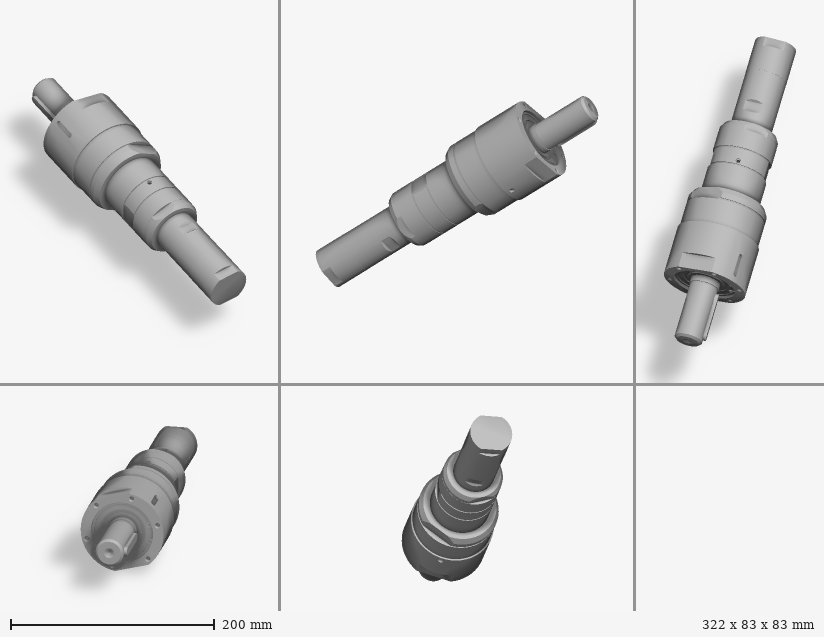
import cadquery as cq
import math


TOTAL_LENGTH = 322.0
SHAFT_SHOULDER = 59.2
HEAD_START = 61.5
HEAD_END = 111.5
COLLAR_GROOVE_START = 137.8
COLLAR_GROOVE_END = 139.7
COLLAR_END = 151.5
FRONT_GROOVE_START = 180.0
REAR_GROOVE_START = 197.7
BARREL_GROOVE_WIDTH = 1.5
NUT_START = 218.3
BARREL_END = 228.0
TAIL_STEP = 286.3

SHAFT_DIA = 28.0
SHOULDER_DIA = 30.0
HEAD_DIA = 83.0
BODY_DIA = 80.0
COLLAR_GROOVE_DIA = 78.0
BARREL_DIA = 60.0
BARREL_GROOVE_DIA = 58.0
NUT_DIA = 59.5
TAIL_NECK_DIA = 41.5
TAIL_DIA = 42.0

SHAFT_CHAMFER = 2.3
RIM_CHAMFER_ANGLE = 30.0
COLLAR_CHAMFER = 5.8
BARREL_CHAMFER = 4.8

CENTRE_HOLE_DIA = 10.3
CENTRE_HOLE_ANGLE = 118.0
KEY_START = 5.0
KEY_LENGTH = 50.0
KEY_WIDTH = 8.5
KEY_TOP = 16.7

HEAD_FLAT_LENGTH = 15.0
HEAD_FLAT_HALF_WIDTH = 37.7
HEAD_FLAT_ANGLE = 105.0
SCREW_HOLE_DIA = 4.0
SCREW_SINK_DIA = 5.5
SCREW_HOLE_DEPTH = 6.5
SCREW_COUNT = 6
SCREW_CIRCLE_RADIUS = 36.7
FIRST_SCREW_ANGLE = 15.0
DRILL_TIP_ANGLE = 118.0
SIDE_SLOT_CENTRE = 79.2
SIDE_SLOT_LENGTH = 24.0
SIDE_SLOT_WIDTH = 5.5
SIDE_SLOT_DEPTH = 3.0
SIDE_SLOT_ANGLE = 45.0
SIDE_HOLE_CENTRE = 105.0
SIDE_HOLE_DIA = 5.5
SIDE_HOLE_DEPTH = 3.2
SIDE_HOLE_ANGLE = -75.0

RECESS_DIA = 62.0
RECESS_DEPTH = 4.0
RING_BORE_DIA = 57.3
RING_THICKNESS = 1.0
RING_GAP = 12.2
EAR_DIA = 5.0
EAR_HOLE_DIA = 3.5
EAR_OFFSET = 26.0
EAR_HALF_SPACING = 8.5
SEAL_OUTER_DIA = 45.0
SEAL_INNER_DIA = 38.0
SEAL_GROOVE_DEPTH = 1.0

COLLAR_FLAT_HALF_WIDTH = 35.0
COLLAR_FLAT_ANGLE = 125.6
BARREL_FLAT_HALF_WIDTH = 27.5
NUT_FLAT_HALF_WIDTH = 27.0
NUT_FLAT_ANGLE = 72.6
OIL_HOLE_CENTRE = 184.8
OIL_SINK_DIA = 5.0
OIL_SINK_DEPTH = 1.5
OIL_HOLE_DIA = 3.5
OIL_HOLE_DEPTH = 6.5
NOTCH_START = 243.0
NOTCH_LENGTH = 9.3
NOTCH_HALF_WIDTH = 18.7
NOTCH_ANGLE = 98.0
TAIL_FLAT_LENGTH = 9.5
TAIL_FLAT_HALF_WIDTH = 18.0


def radial_plane(x, angle, distance):
    """Plane facing outward at the given angle; local x runs along the axis."""
    a = math.radians(angle)
    outward = (0, -math.cos(a), math.sin(a))
    origin = (x, distance * outward[1], distance * outward[2])
    return cq.Plane(origin=origin, xDir=(1, 0, 0), normal=outward)


def axial_plane(x):
    """Plane facing +X; local x is +Y and local y is +Z."""
    return cq.Plane(origin=(x, 0, 0), xDir=(0, 1, 0), normal=(1, 0, 0))


def tube(x_start, length, outer_dia, inner_dia):
    ring = cq.Workplane(axial_plane(x_start)).circle(outer_dia / 2).circle(inner_dia / 2)
    return ring.extrude(length)


def turned_solid(profile):
    """Revolve (x, radius) points about the axis; the first and last points lie on the axis."""
    return cq.Workplane("XY").polyline(profile).close().revolve(360, (0, 0, 0), (1, 0, 0))


def stepped_body():
    """Revolve the stepped outline, given as (x, radius) points."""
    slope = math.tan(math.radians(RIM_CHAMFER_ANGLE))
    shaft_r = SHAFT_DIA / 2
    body_r = BODY_DIA / 2
    barrel_r = BARREL_DIA / 2
    nut_r = NUT_DIA / 2
    outline = [
        (0, 0),
        (0, shaft_r - SHAFT_CHAMFER),
        (SHAFT_CHAMFER, shaft_r),
        (SHAFT_SHOULDER, shaft_r),
        (SHAFT_SHOULDER, SHOULDER_DIA / 2),
        (HEAD_START, SHOULDER_DIA / 2),
        (HEAD_START, HEAD_DIA / 2),
        (HEAD_END, HEAD_DIA / 2),
        (HEAD_END, body_r),
        (COLLAR_END - COLLAR_CHAMFER, body_r),
        (COLLAR_END, body_r - COLLAR_CHAMFER * slope),
        (COLLAR_END, barrel_r),
        (NUT_START, barrel_r),
        (NUT_START, nut_r),
        (BARREL_END - BARREL_CHAMFER, nut_r),
        (BARREL_END, nut_r - BARREL_CHAMFER * slope),
        (BARREL_END, TAIL_NECK_DIA / 2),
        (TAIL_STEP, TAIL_NECK_DIA / 2),
        (TAIL_STEP, TAIL_DIA / 2),
        (TOTAL_LENGTH, TAIL_DIA / 2),
        (TOTAL_LENGTH, 0),
    ]
    return turned_solid(outline)


def flat_pair(x_start, x_end, half_width, angle):
    """Cutter for two opposite flats."""
    cutter = cq.Workplane("XY")
    for side_angle in (angle, angle + 180):
        plane = radial_plane((x_start + x_end) / 2, side_angle, half_width)
        cutter = cutter.add(cq.Workplane(plane).rect(x_end - x_start, HEAD_DIA).extrude(HEAD_DIA / 2))
    return cutter.combine()


def centre_hole():
    """Conical centre in the shaft tip."""
    radius = CENTRE_HOLE_DIA / 2
    depth = radius / math.tan(math.radians(CENTRE_HOLE_ANGLE / 2))
    return turned_solid([(0, 0), (0, radius), (depth, 0)])


def radial_hole(x, angle, surface_dia, diameter, depth):
    floor = radial_plane(x, angle, surface_dia / 2 - depth)
    return cq.Workplane(floor).circle(diameter / 2).extrude(2 * depth)


def screw_holes():
    """Ring of countersunk blind holes ending in drill tips."""
    hole_r = SCREW_HOLE_DIA / 2
    sink_r = SCREW_SINK_DIA / 2
    tip = hole_r / math.tan(math.radians(DRILL_TIP_ANGLE / 2))
    profile = [
        (0, 0),
        (0, sink_r),
        (sink_r - hole_r, hole_r),
        (SCREW_HOLE_DEPTH, hole_r),
        (SCREW_HOLE_DEPTH + tip, 0),
    ]
    hole = turned_solid(profile)
    holes = cq.Workplane("XY")
    for i in range(SCREW_COUNT):
        a = math.radians(FIRST_SCREW_ANGLE + i * 360 / SCREW_COUNT)
        y = -SCREW_CIRCLE_RADIUS * math.cos(a)
        z = SCREW_CIRCLE_RADIUS * math.sin(a)
        holes = holes.add(hole.translate((HEAD_START, y, z)))
    return holes.combine()


def retaining_ring():
    """Open ring on the recess floor, with a drilled ear at each end."""
    x_start = HEAD_START + RECESS_DEPTH - RING_THICKNESS
    ear_centres = [(-EAR_OFFSET, EAR_HALF_SPACING), (-EAR_OFFSET, -EAR_HALF_SPACING)]
    ears = cq.Workplane(axial_plane(x_start)).pushPoints(ear_centres)
    ear_discs = ears.circle(EAR_DIA / 2).extrude(RING_THICKNESS)
    ear_holes = ears.circle(EAR_HOLE_DIA / 2).extrude(RING_THICKNESS)
    gap = (
        cq.Workplane(axial_plane(x_start))
        .center(-RECESS_DIA / 2, 0)
        .rect(RECESS_DIA, RING_GAP)
        .extrude(RING_THICKNESS)
    )
    ring = tube(x_start, RING_THICKNESS, RECESS_DIA, RING_BORE_DIA)
    return ring.union(ear_discs).cut(gap).cut(ear_holes)


def shaft_key():
    """Round-ended key standing out of the -Y side of the shaft."""
    plane = radial_plane(KEY_START + KEY_LENGTH / 2, 0, 0)
    return cq.Workplane(plane).slot2D(KEY_LENGTH, KEY_WIDTH).extrude(KEY_TOP)


def side_slot():
    floor = radial_plane(SIDE_SLOT_CENTRE, SIDE_SLOT_ANGLE, HEAD_DIA / 2 - SIDE_SLOT_DEPTH)
    return cq.Workplane(floor).slot2D(SIDE_SLOT_LENGTH, SIDE_SLOT_WIDTH).extrude(2 * SIDE_SLOT_DEPTH)


def tail_notches():
    """Two opposite flat-bottomed notches with 45 degree end walls."""
    cutter = cq.Workplane("XY")
    height = TAIL_DIA / 2 - NOTCH_HALF_WIDTH
    for angle in (NOTCH_ANGLE, NOTCH_ANGLE + 180):
        floor = radial_plane(NOTCH_START + NOTCH_LENGTH / 2, angle, NOTCH_HALF_WIDTH)
        notch = cq.Workplane(floor).rect(NOTCH_LENGTH, TAIL_DIA).extrude(height, taper=-45)
        cutter = cutter.add(notch)
    return cutter.combine()


part = stepped_body()
collar_groove_width = COLLAR_GROOVE_END - COLLAR_GROOVE_START
part = part.cut(tube(COLLAR_GROOVE_START, collar_groove_width, HEAD_DIA, COLLAR_GROOVE_DIA))
for groove_start in (FRONT_GROOVE_START, REAR_GROOVE_START):
    part = part.cut(tube(groove_start, BARREL_GROOVE_WIDTH, HEAD_DIA, BARREL_GROOVE_DIA))

part = part.cut(tube(HEAD_START, RECESS_DEPTH, RECESS_DIA, SHOULDER_DIA))
part = part.cut(tube(HEAD_START + RECESS_DEPTH, SEAL_GROOVE_DEPTH, SEAL_OUTER_DIA, SEAL_INNER_DIA))
part = part.union(retaining_ring())
part = part.cut(screw_holes())

part = part.cut(centre_hole())
part = part.union(shaft_key())

part = part.cut(flat_pair(HEAD_START, HEAD_START + HEAD_FLAT_LENGTH, HEAD_FLAT_HALF_WIDTH, HEAD_FLAT_ANGLE))
part = part.cut(flat_pair(COLLAR_GROOVE_START, COLLAR_END, COLLAR_FLAT_HALF_WIDTH, COLLAR_FLAT_ANGLE))
barrel_flat_end = REAR_GROOVE_START + BARREL_GROOVE_WIDTH
part = part.cut(flat_pair(FRONT_GROOVE_START, barrel_flat_end, BARREL_FLAT_HALF_WIDTH, 0))
part = part.cut(flat_pair(NUT_START, BARREL_END, NUT_FLAT_HALF_WIDTH, NUT_FLAT_ANGLE))
part = part.cut(flat_pair(TOTAL_LENGTH - TAIL_FLAT_LENGTH, TOTAL_LENGTH, TAIL_FLAT_HALF_WIDTH, 90))

part = part.cut(side_slot())
part = part.cut(radial_hole(SIDE_HOLE_CENTRE, SIDE_HOLE_ANGLE, HEAD_DIA, SIDE_HOLE_DIA, SIDE_HOLE_DEPTH))
for oil_dia, oil_depth in ((OIL_SINK_DIA, OIL_SINK_DEPTH), (OIL_HOLE_DIA, OIL_HOLE_DEPTH)):
    part = part.cut(radial_hole(OIL_HOLE_CENTRE, 90, BARREL_DIA, oil_dia, oil_depth))
part = part.cut(tail_notches())

result = part